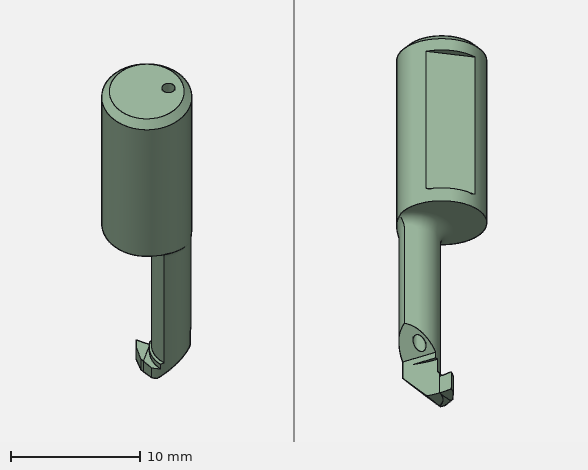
import cadquery as cq
import math

SHANK_R = 3.5
TOTAL_LENGTH = 30.0
SHANK_BOTTOM = 15.0
TOP_CHAMFER = 0.6

FLAT_DISTANCE = 2.9
FLAT_BOTTOM = 16.15
FLAT_TOP = 28.4
FLAT_ROOT_R = 0.15
FLAT_ANGLE = 135.0

HOLE_D = 1.0
HOLE_X = 1.5
HOLE_Y = 0.85

NECK_LEFT = 0.48
NECK_BACK_R = 2.25
NECK_BACK_X = NECK_LEFT + NECK_BACK_R
NECK_FRONT_R = 2.33
NECK_FRONT_X = SHANK_R - NECK_FRONT_R
FLARE_R = 1.0
FLARE_START = SHANK_BOTTOM - FLARE_R

HEAD_WIDTH = 1.54
TIP_X = -0.87
TIP_CORNER_R = 0.08
COLLAR_STEP = 0.18
COLLAR_TOP = 2.03
SIDE_CLEARANCE = 5.0
BACK_CLEARANCE = 2.5
HEEL_POINTS = [(-0.67, -0.66), (0.05, -1.73), (1.1, -2.33)]
END_BEVEL_OFFSET = 1.33
SPLIT_X = NECK_LEFT - COLLAR_STEP

CHIP_FACE_Y = 0.1
CHIP_FACE_TOP = 3.6
GROOVE_TOP = 3.1
GROOVE_DEPTH = 0.16
GROOVE_LOW_X = 0.5
GROOVE_END_X = 2.5

REACH = 2 * SHANK_R
CUT_MARGIN = 1.0


def make_shank():
    shank = (
        cq.Workplane("XY", origin=(0, 0, SHANK_BOTTOM))
        .circle(SHANK_R)
        .extrude(TOTAL_LENGTH - SHANK_BOTTOM)
        .faces(">Z")
        .chamfer(TOP_CHAMFER)
    )
    flat_height = FLAT_TOP - FLAT_BOTTOM
    flat_cutter = (
        cq.Workplane("XY")
        .box(SHANK_R, REACH, flat_height, centered=(False, True, False))
        .translate((FLAT_DISTANCE, 0, FLAT_BOTTOM))
        .edges("<X and <Z")
        .fillet(FLAT_ROOT_R)
        .rotate((0, 0, 0), (0, 0, 1), FLAT_ANGLE)
    )
    return shank.cut(flat_cutter)


def flared_bar(center_x, radius, lower_outline):
    """Round bar at (center_x, 0) that flares out with a concave arc under the shank."""
    flare_mid = FLARE_R * (1 - math.sqrt(0.5))
    outline = (
        cq.Workplane("XZ")
        .polyline([(0, lower_outline[0][1])] + lower_outline + [(radius, FLARE_START)])
        .threePointArc((radius + flare_mid, SHANK_BOTTOM - flare_mid), (radius + FLARE_R, SHANK_BOTTOM))
        .lineTo(0, SHANK_BOTTOM)
        .close()
    )
    return outline.revolve(360, (0, 0, 0), (0, 1, 0)).translate((center_x, 0, 0))


def make_back_bar():
    collar_r = NECK_BACK_R + COLLAR_STEP
    collar = [(collar_r, 0), (collar_r, COLLAR_TOP - COLLAR_STEP), (NECK_BACK_R, COLLAR_TOP)]
    return flared_bar(NECK_BACK_X, NECK_BACK_R, collar)


def make_front_bar():
    return flared_bar(NECK_FRONT_X, NECK_FRONT_R, [(NECK_FRONT_R, 0)])


def make_head():
    """Heel outline of the head, left oversize where the front bar will round it off."""
    plan = (
        cq.Workplane("XY")
        .moveTo(TIP_X, SHANK_R)
        .lineTo(TIP_X, 0)
        .polyline(HEEL_POINTS, includeCurrent=True)
        .lineTo(HEEL_POINTS[-1][0], -SHANK_R)
        .lineTo(REACH, -SHANK_R)
        .lineTo(REACH, SHANK_R)
        .close()
        .extrude(HEAD_WIDTH)
    )
    side_drop = SHANK_R * math.tan(math.radians(SIDE_CLEARANCE))
    side_profile = (
        cq.Workplane("YZ", origin=(TIP_X - CUT_MARGIN, 0, 0))
        .polyline([
            (REACH, 0),
            (0, 0),
            (-SHANK_R, side_drop),
            (-SHANK_R, HEAD_WIDTH - side_drop),
            (0, HEAD_WIDTH),
            (REACH, HEAD_WIDTH),
        ])
        .close()
        .extrude(2 * REACH)
    )
    back_rise = (REACH - TIP_X) * math.tan(math.radians(BACK_CLEARANCE))
    front_profile = (
        cq.Workplane("XZ", origin=(0, REACH, 0))
        .polyline([(TIP_X, 0), (REACH, back_rise), (REACH, HEAD_WIDTH), (TIP_X, HEAD_WIDTH)])
        .close()
        .extrude(2 * REACH)
        .edges("|Y and <X")
        .fillet(TIP_CORNER_R)
    )
    return plan.intersect(side_profile).intersect(front_profile)


def make_lower_clearance():
    """Everything below the rising lower edge of the head and the 45 degree end bevel."""
    slope = math.tan(math.radians(BACK_CLEARANCE))
    bevel_top = SHANK_R - END_BEVEL_OFFSET
    bevel_x = (END_BEVEL_OFFSET - TIP_X * slope) / (1 - slope)
    return (
        cq.Workplane("XZ", origin=(0, SHANK_R, 0))
        .polyline([
            (TIP_X, 0),
            (bevel_x, bevel_x - END_BEVEL_OFFSET),
            (SHANK_R, bevel_top),
            (REACH, bevel_top + REACH - SHANK_R),
            (REACH, -CUT_MARGIN),
            (TIP_X, -CUT_MARGIN),
        ])
        .close()
        .extrude(REACH)
    )


def make_chip_space():
    """Sloped run-out and flat face on the +Y side, with a shallow groove along the cutting edge."""
    relief = (
        cq.Workplane("YZ", origin=(-SHANK_R, 0, 0))
        .polyline([
            (CHIP_FACE_Y, -CUT_MARGIN),
            (CHIP_FACE_Y, CHIP_FACE_TOP),
            (SHANK_R, CHIP_FACE_TOP + SHANK_R - CHIP_FACE_Y),
            (SHANK_R, -CUT_MARGIN),
        ])
        .close()
        .extrude(REACH)
    )
    groove = (
        cq.Workplane("XY")
        .moveTo(TIP_X, 0)
        .threePointArc((GROOVE_LOW_X, -GROOVE_DEPTH), (GROOVE_END_X, CHIP_FACE_Y))
        .lineTo(TIP_X, CHIP_FACE_Y)
        .close()
        .extrude(GROOVE_TOP)
    )
    return relief.union(groove)


def make_shaft():
    """Neck and head in one piece, before it joins the shank."""
    shaft = make_back_bar().union(make_head()).intersect(make_front_bar())
    shaft = shaft.cut(make_lower_clearance()).cut(make_chip_space())
    shank_limit = cq.Workplane("XY").circle(SHANK_R).extrude(SHANK_BOTTOM)
    return shaft.intersect(shank_limit)


coolant_hole = cq.Workplane("XY").center(HOLE_X, HOLE_Y).circle(HOLE_D / 2).extrude(TOTAL_LENGTH)
tool = make_shank().union(make_shaft()).cut(coolant_hole)

tip_zone = (
    cq.Workplane("XY", origin=(SPLIT_X - REACH, 0, 0))
    .box(REACH, REACH, HEAD_WIDTH, centered=(False, True, False))
)
holder = tool.cut(tip_zone)
cutting_tip = tool.intersect(tip_zone)

result = cq.Compound.makeCompound([holder.val(), cutting_tip.val()])